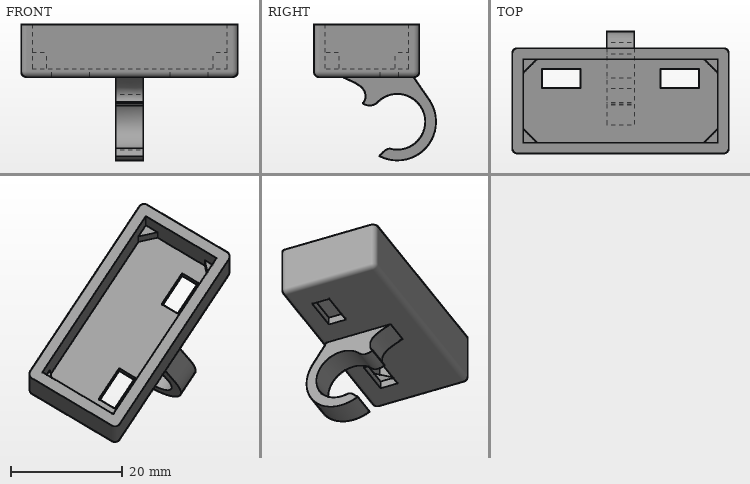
import cadquery as cq
import math

length = 39.0
width = 19.0
height = 9.5
edge_radius = 1.0
wall = 2.0
floor = 1.52
cavity_length = length - 2 * wall
cavity_width = width - 2 * wall
cavity_depth = height - floor

support_leg = 2.5
support_height = 3.0

window_length = 6.9
window_width = 3.4
window_end_gap = 3.4
window_side_gap = 1.8

hook_width = 5.0
total_height = 24.5
bore_radius = 5.0
hook_thickness = 2.0
hook_radius = bore_radius + hook_thickness
hook_reach = 3.0
hook_y = width / 2 + hook_reach - hook_radius
hook_z = hook_radius - total_height
root_height = -height - hook_z
root_y = width / 2 - edge_radius - hook_y
overlap = 0.4

lower_tip_angle = -118.0
lower_lip_angle = -106.0
upper_lip_angle = 132.0


def on_circle(radius, angle):
    """Point at an angle in degrees, measured from +Y towards +Z."""
    return (radius * math.cos(math.radians(angle)), radius * math.sin(math.radians(angle)))


def make_tray():
    tray = cq.Workplane("XY").box(length, width, height, centered=(True, True, False))
    tray = tray.translate((0, 0, -height))
    tray = tray.edges("|Z").fillet(edge_radius).faces("<Z").edges().fillet(edge_radius)
    cavity = cq.Workplane("XY").rect(cavity_length, cavity_width).extrude(-cavity_depth)
    return tray.cut(cavity)


def make_support(side_x, side_y):
    corner_x = side_x * cavity_length / 2
    corner_y = side_y * cavity_width / 2
    return (
        cq.Workplane("XY", origin=(0, 0, -cavity_depth))
        .moveTo(corner_x, corner_y)
        .lineTo(corner_x - side_x * support_leg, corner_y)
        .lineTo(corner_x, corner_y - side_y * support_leg)
        .close()
        .extrude(support_height)
    )


def make_windows():
    window_x = cavity_length / 2 - window_end_gap - window_length / 2
    window_y = cavity_width / 2 - window_side_gap - window_width / 2
    return (
        cq.Workplane("XY", origin=(0, 0, -height))
        .pushPoints([(-window_x, window_y), (window_x, window_y)])
        .rect(window_length, window_width)
        .extrude(floor)
    )


def make_hook():
    root_angle = math.degrees(math.atan2(root_height, root_y))
    root_distance = math.hypot(root_y, root_height)
    tangent_angle = root_angle - math.degrees(math.acos(hook_radius / root_distance))

    back_middle_angle = (tangent_angle + lower_tip_angle) / 2
    bore_middle_angle = (lower_lip_angle + upper_lip_angle) / 2

    lower_tip = on_circle(hook_radius, lower_tip_angle)
    lower_lip_start = (-2.3, -5.23)
    lower_lip_end = on_circle(bore_radius, lower_lip_angle)
    upper_lip_start = on_circle(bore_radius, upper_lip_angle)
    upper_lip_middle = (-4.5, 2.95)
    upper_tip = (-6.25, 3.3)
    barb_back = (-6.0, 3.6)
    throat = (-5.77, 4.17)
    throat_bend = (-5.85, 5.3)
    flare = (-7.65, 7.02)
    front_root = (-9.83, root_height)

    return (
        cq.Workplane("YZ", origin=(-hook_width / 2, hook_y, hook_z))
        .moveTo(root_y, root_height)
        .lineTo(*on_circle(hook_radius, tangent_angle))
        .threePointArc(on_circle(hook_radius, back_middle_angle), lower_tip)
        .lineTo(*lower_lip_start)
        .tangentArcPoint(lower_lip_end, relative=False)
        .threePointArc(on_circle(bore_radius, bore_middle_angle), upper_lip_start)
        .threePointArc(upper_lip_middle, upper_tip)
        .lineTo(*barb_back)
        .spline([throat, throat_bend, flare, front_root], includeCurrent=True)
        .lineTo(front_root[0], root_height + overlap)
        .lineTo(root_y, root_height + overlap)
        .close()
        .extrude(hook_width)
    )


result = make_tray()
for side_x in (-1, 1):
    for side_y in (-1, 1):
        result = result.union(make_support(side_x, side_y))
result = result.cut(make_windows()).union(make_hook())